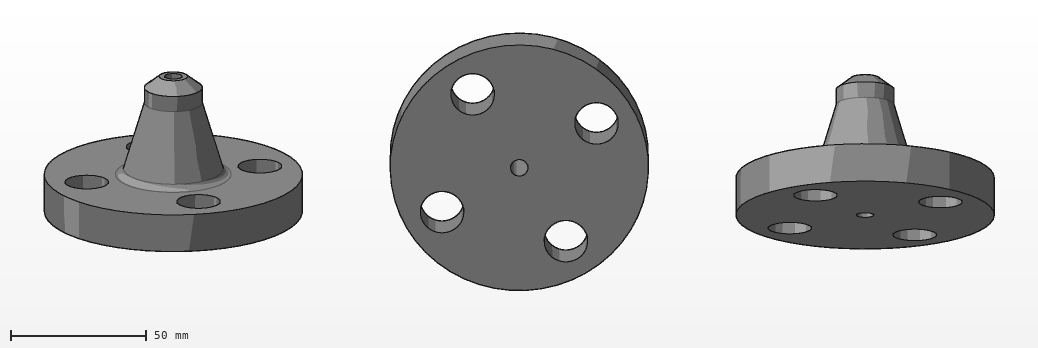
import cadquery as cq

flange_diameter = 95.2
flange_thickness = 14.3

bolt_count = 4
bolt_circle_diameter = 66.5
bolt_hole_diameter = 16.0

overall_height = 52.3
neck_diameter = 21.4
cone_top_height = 42.1
cone_base_diameter = 38.1
base_fillet_radius = 3.0
bevel_height = 4.3
tip_diameter = 10.5
bore_diameter = 6.4


def make_flange():
    return cq.Workplane("XY").circle(flange_diameter / 2).extrude(flange_thickness)


def make_neck():
    """Cone, straight collar and weld bevel, revolved from a half section down to Z = 0."""
    profile = [
        (0, 0),
        (cone_base_diameter / 2, 0),
        (cone_base_diameter / 2, flange_thickness),
        (neck_diameter / 2, cone_top_height),
        (neck_diameter / 2, overall_height - bevel_height),
        (tip_diameter / 2, overall_height),
        (0, overall_height),
    ]
    half_section = cq.Workplane("XZ").polyline(profile).close()
    return half_section.revolve(360, (0, 0, 0), (0, 1, 0))


def fillet_neck_base(body):
    """Round the inside corner where the cone meets the flange face."""
    margin = 0.1
    reach = cone_base_diameter / 2 + margin
    corner = cq.selectors.BoxSelector(
        (-reach, -reach, flange_thickness - margin),
        (reach, reach, flange_thickness + margin),
        boundingbox=True,
    )
    return body.edges(corner).fillet(base_fillet_radius)


def make_bore():
    return cq.Workplane("XY").circle(bore_diameter / 2).extrude(overall_height)


def make_bolt_holes():
    return (
        cq.Workplane("XY")
        .polarArray(bolt_circle_diameter / 2, 0, 360, bolt_count)
        .circle(bolt_hole_diameter / 2)
        .extrude(flange_thickness)
    )


body = fillet_neck_base(make_flange().union(make_neck()))
result = body.cut(make_bore()).cut(make_bolt_holes())